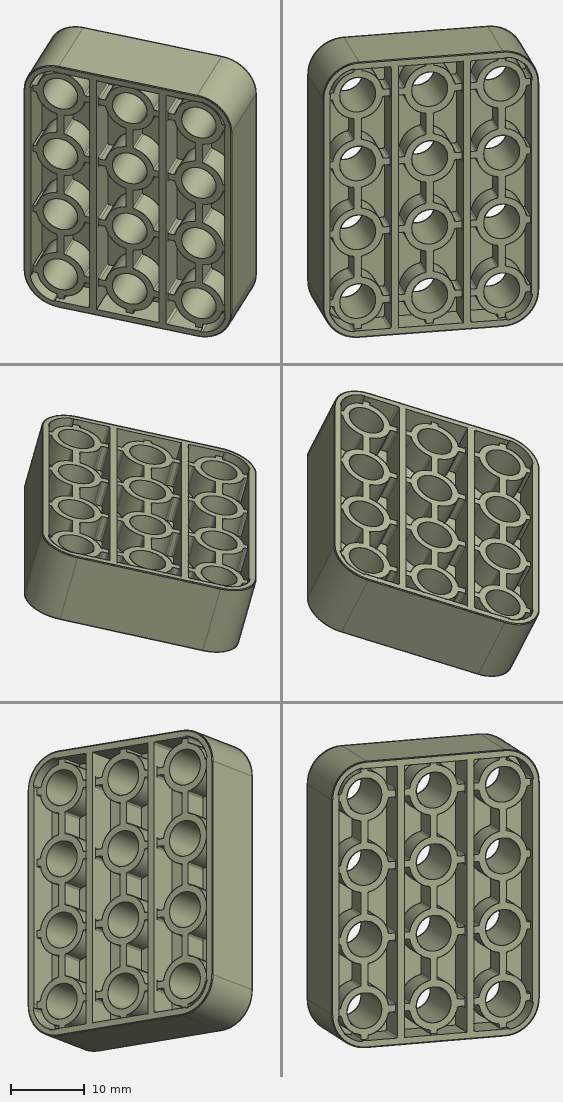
import cadquery as cq

pitch = 10.0
column_count = 3
row_count = 4
length_x = column_count * pitch
height_z = row_count * pitch
depth_y = 10.0
corner_radius = pitch / 2
edge_chamfer = 0.1

wall = 1.0
web_thickness = 1.0
pocket_depth = (depth_y - web_thickness) / 2

bore_diameter = 5.0
tube_diameter = 7.0
rib_thickness = 1.0
lattice_recess = 0.8
cell_depth = pocket_depth - lattice_recess
channel_fillet = 0.3
cell_fillet = 0.25

corner_cell_outer_radius = 4.15
corner_cell_inner_radius = 3.35

columns = [(i - (column_count - 1) / 2) * pitch for i in range(column_count)]
rows = [(i - (row_count - 1) / 2) * pitch for i in range(row_count)]
tube_centres = [(x, z) for x in columns for z in rows]
corner_centres = [(x, z) for x in (columns[0], columns[-1]) for z in (rows[0], rows[-1])]
column_centres = [(x, 0) for x in columns]
row_centres = [(0, z) for z in rows]
inner_length = length_x - 2 * wall
inner_height = height_z - 2 * wall


def sketch_plane(inset=0.0):
    """XZ sketch plane, set back from the front face; a negative extrusion runs toward +Y."""
    return cq.Workplane("XZ", origin=(0, inset - depth_y / 2, 0))


def edges_in_box(direction, length, height):
    """Selector for edges along a direction whose centres lie in a centred box of the panel depth."""
    corner = (length / 2, depth_y / 2, height / 2)
    opposite = tuple(-value for value in corner)
    return cq.selectors.StringSyntaxSelector(direction) & cq.selectors.BoxSelector(opposite, corner)


def make_body():
    block = sketch_plane().rect(length_x, height_z).extrude(-depth_y)
    block = block.edges("|Y").fillet(corner_radius)
    return block.faces("<Y or >Y").edges().chamfer(edge_chamfer)


def make_channels(inset, depth):
    """Space of the columns between the walls, rounded at the four corners of the panel."""
    outline = sketch_plane(inset).rect(inner_length, inner_height).extrude(-depth)
    outline = outline.edges("|Y").fillet(corner_radius - wall)
    strips = sketch_plane(inset).pushPoints(column_centres).rect(pitch - wall, inner_height).extrude(-depth)
    channels = strips.intersect(outline)
    beyond_partitions = pitch + 2 * wall
    rounded_ends = edges_in_box("|Y", beyond_partitions, height_z) - edges_in_box("|Y", pitch, height_z)
    return channels.edges(rounded_ends).fillet(channel_fillet)


def make_lattice():
    """Tubes and cross ribs that divide the channels into cells."""
    plane = sketch_plane(lattice_recess)
    tubes = plane.pushPoints(tube_centres).circle(tube_diameter / 2).extrude(-cell_depth)
    upright_ribs = plane.pushPoints(column_centres).rect(rib_thickness, height_z).extrude(-cell_depth)
    level_ribs = plane.pushPoints(row_centres).rect(length_x, rib_thickness).extrude(-cell_depth)
    return tubes.union(upright_ribs).union(level_ribs)


def make_corner_zones():
    """Blocks at the panel corners, outside the ribs of the corner tubes."""
    clear_length = 2 * columns[-1] + rib_thickness
    clear_height = 2 * rows[-1] + rib_thickness
    zones = sketch_plane().rect(length_x, height_z).extrude(-pocket_depth)
    zones = zones.cut(sketch_plane().rect(clear_length, height_z).extrude(-pocket_depth))
    return zones.cut(sketch_plane().rect(length_x, clear_height).extrude(-pocket_depth))


def make_pockets():
    """Everything hollowed out of one face: shallow recess, cells between ribs, and corner cells."""
    corner_zones = make_corner_zones()
    cells = make_channels(lattice_recess, cell_depth).cut(make_lattice()).cut(corner_zones)
    edges_off_walls = edges_in_box("|Y", inner_length - wall, inner_height - wall)
    cells = cells.edges(edges_off_walls).fillet(cell_fillet)
    rings = (
        sketch_plane().pushPoints(corner_centres).circle(corner_cell_outer_radius)
        .circle(corner_cell_inner_radius).extrude(-pocket_depth)
    )
    corner_cells = rings.intersect(corner_zones).edges("|Y").fillet(cell_fillet)
    return make_channels(0, lattice_recess).union(cells).union(corner_cells)


pockets = make_pockets()
bores = sketch_plane().pushPoints(tube_centres).circle(bore_diameter / 2).extrude(-depth_y)
result = make_body().cut(pockets).cut(pockets.mirror("XZ")).cut(bores)